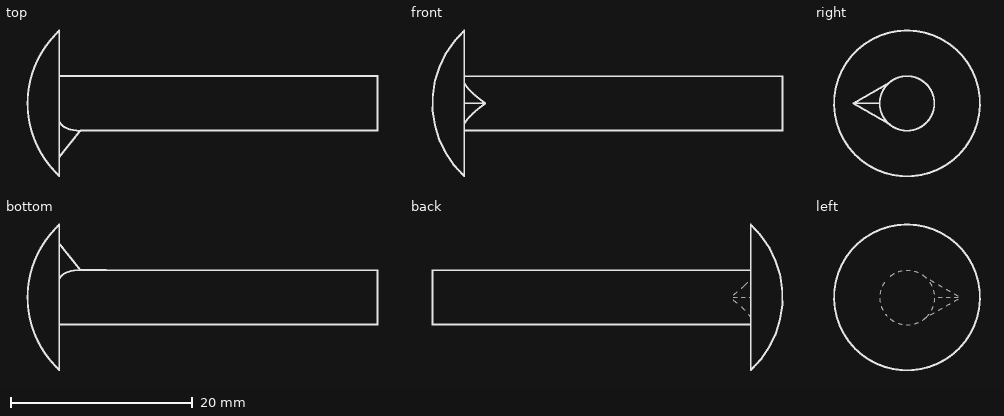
import cadquery as cq

total_length = 38.48
head_diameter = 16.05
head_height = 3.55
shank_diameter = 6.0
nib_reach = 5.9
nib_length = 2.3
nib_root_offset = 1.92
nib_root_half_width = 2.27

head_radius = head_diameter / 2
shank_radius = shank_diameter / 2


def make_head():
    """Spherical cap with a flat underside at x = head_height."""
    sphere_radius = (head_radius**2 + head_height**2) / (2 * head_height)
    sphere = cq.Workplane("XY").sphere(sphere_radius).translate((sphere_radius, 0, 0))
    envelope = cq.Workplane("YZ").circle(sphere_radius).extrude(head_height)
    return sphere.intersect(envelope)


def make_shank():
    """Plain cylinder from the underside of the head to the free end."""
    profile = cq.Workplane("YZ", origin=(head_height, 0, 0)).circle(shank_radius)
    return profile.extrude(total_length - head_height)


def make_nib():
    """Four-cornered anti-rotation wedge whose root is buried in the shank."""
    ridge_slope = nib_length / (nib_reach - shank_radius)
    root_height = ridge_slope * (nib_reach - nib_root_offset)
    tip = cq.Vector(head_height, -nib_reach, 0)
    ridge_end = cq.Vector(head_height + root_height, -nib_root_offset, 0)
    upper = cq.Vector(head_height, -nib_root_offset, nib_root_half_width)
    lower = cq.Vector(head_height, -nib_root_offset, -nib_root_half_width)
    triangles = [
        (tip, upper, lower),
        (tip, ridge_end, upper),
        (tip, lower, ridge_end),
        (upper, ridge_end, lower),
    ]
    faces = [cq.Face.makeFromWires(cq.Wire.makePolygon(corners, close=True)) for corners in triangles]
    return cq.Workplane(cq.Solid.makeSolid(cq.Shell.makeShell(faces)))


result = make_head().union(make_shank()).union(make_nib())